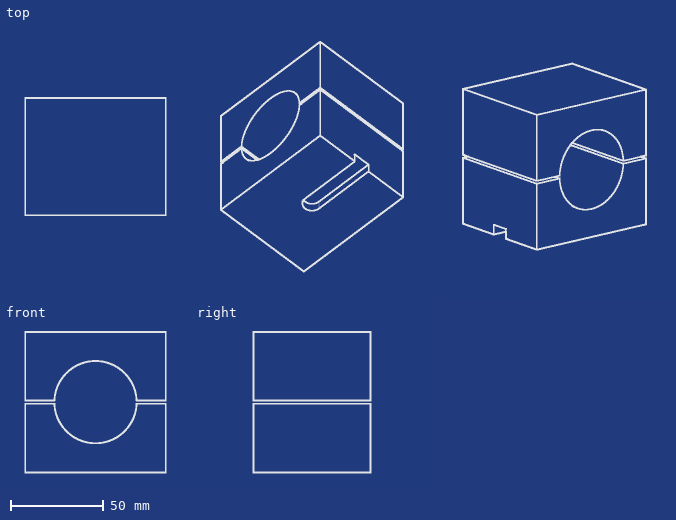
import cadquery as cq

block_width = 76.2
block_length = 63.5
block_height = 76.2
bore_diameter = 44.45
split_gap = 1.5875

slot_width = 10.4
slot_depth = 5.6
slot_end_x = 0.0

half_height = (block_height - split_gap) / 2
bottom_z = -block_height / 2


def clamp_half(base_z):
    """One half of the block, standing on base_z, with its share of the bore."""
    block = cq.Workplane("XY", origin=(0, 0, base_z)).box(
        block_width, block_length, half_height, centered=(True, True, False)
    )
    bore = cq.Workplane("XZ").circle(bore_diameter / 2).extrude(block_length / 2, both=True)
    return block.cut(bore)


def locating_slot():
    """Cutter for the underside slot: a straight run in from -X, then a half-round end."""
    slot_radius = slot_width / 2
    return (
        cq.Workplane("XY", origin=(0, 0, bottom_z))
        .moveTo(-block_width / 2, -slot_radius)
        .lineTo(slot_end_x, -slot_radius)
        .threePointArc((slot_end_x + slot_radius, 0), (slot_end_x, slot_radius))
        .lineTo(-block_width / 2, slot_radius)
        .close()
        .extrude(slot_depth)
    )


upper_half = clamp_half(split_gap / 2)
lower_half = clamp_half(bottom_z).cut(locating_slot())

result = cq.Compound.makeCompound([upper_half.val(), lower_half.val()])